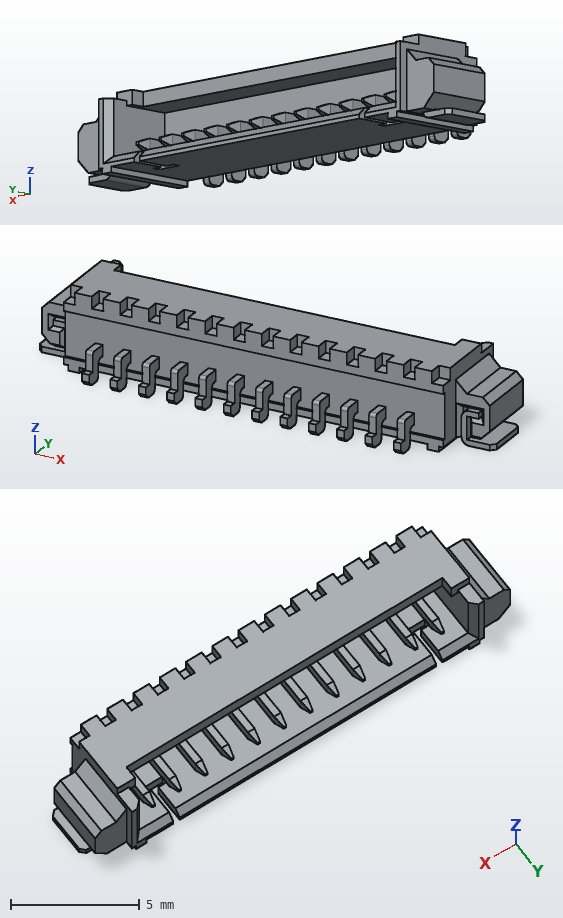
import cadquery as cq
import math


PIN_COUNT = 12
PITCH = 1.25
OVERALL_LENGTH = 20.15
OVERALL_DEPTH = 5.2
OVERALL_HEIGHT = 3.4
MATING_Y = OVERALL_DEPTH / 2
TAIL_END_Y = MATING_Y - OVERALL_DEPTH

NOTCH_WIDTH = 0.5
HOUSING_LENGTH = (PIN_COUNT + 1) * PITCH + NOTCH_WIDTH
HOUSING_SIDE_X = HOUSING_LENGTH / 2
HOUSING_DEPTH = 4.2
HOUSING_REAR_Y = MATING_Y - HOUSING_DEPTH
STANDOFF = 0.23
FOOT_WIDTH = 0.5
FOOT_INSET = 0.2
REAR_RECESS = 0.125
RECESS_BOTTOM_Z = 0.54
RECESS_TOP_Z = 2.52

SIDE_WALL_TOP_Z = 3.0
SIDE_STEP_DEPTH = 1.0
ROOF_SETBACK = 1.6
ROOF_STEP_INSET = 0.86

SIDE_WALL = 0.55
CAVITY_FLOOR_Z = 0.7
CAVITY_CEILING_Z = 2.8
CAVITY_DEPTH = 3.1
CAVITY_HALF_WIDTH = HOUSING_SIDE_X - SIDE_WALL
MOUTH_CHAMFER = 0.3

FLOOR_SLOT_X = (PIN_COUNT / 2 - 1) * PITCH
FLOOR_SLOT_WIDTH = 0.3
FLOOR_SLOT_STEM = 1.47
FLOOR_SLOT_HEAD_WIDTH = 1.1
FLOOR_SLOT_HEAD_DEPTH = 0.3

NOTCH_DEPTH = 0.6
NOTCH_HEIGHT = 0.52

PIN_WIDTH = 0.32
PIN_TOP_Z = 1.37
PIN_BOTTOM_Z = 0.88
PIN_TIP_DEPTH = 0.66
PIN_TAPER_LENGTH = 0.52
PIN_TIP_SIZE = 0.12
TAIL_THICKNESS = 0.46
TAIL_TOE_LENGTH = 0.31
TAIL_OUTER_Y = TAIL_END_Y + TAIL_TOE_LENGTH
TAIL_INNER_Y = TAIL_OUTER_Y + TAIL_THICKNESS
TAIL_TOE_Z = 0.53
TAIL_TOE_CHAMFER = 0.2
TAIL_HEEL_RADIUS = 0.2
TAIL_INNER_RADIUS = 0.2
TAIL_OUTER_RADIUS = 0.13

EAR_REACH = 1.5
EAR_SHOULDER_OUT = 0.5
EAR_TOP_Z = 2.22
EAR_ROOT_Z = EAR_TOP_Z + EAR_SHOULDER_OUT
EAR_TOP_CHAMFER = 0.3
EAR_BOTTOM_CHAMFER = 0.56
EAR_OUTER_Y = MATING_Y - 0.36
EAR_LENGTH = 2.8
EAR_REAR_Y = EAR_OUTER_Y - EAR_LENGTH

CLIP_THICKNESS = 0.25
CLIP_GAP = 0.25
CLIP_HOOK_OUT = 1.01
CLIP_HOOK_TOP_Z = 1.5
CLIP_PLATE_OUT = OVERALL_LENGTH / 2 - HOUSING_SIDE_X
CLIP_LENGTH = 2.2
CLIP_CORNER = 0.2
CLIP_BEND_RADIUS = 0.35
POCKET_FLARE = 0.22
POCKET_CLEARANCE = 0.04

EAR_BOTTOM_Z = CLIP_THICKNESS

PIN_XS = [(i - (PIN_COUNT - 1) / 2) * PITCH for i in range(PIN_COUNT)]
NOTCH_XS = [(i - (PIN_COUNT + 1) / 2) * PITCH for i in range(PIN_COUNT + 2)]


def block(x0, x1, y0, y1, z0, z1):
    """Axis-aligned box between opposite corners."""
    return cq.Workplane("XY").box(x1 - x0, y1 - y0, z1 - z0, centered=False).translate((x0, y0, z0))


def mirrored_pair(shape):
    """The shape together with its mirror image across the YZ plane."""
    return shape.union(shape.mirror("YZ"))


def arc_middle(radius):
    """Distance of a corner round's midpoint from each of the two sides it joins."""
    return radius * (1 - math.sqrt(0.5))


def make_cavity():
    """Plug cavity, its chamfered mouth and the open part of the roof."""
    rear_y = MATING_Y - CAVITY_DEPTH
    cavity = block(
        -CAVITY_HALF_WIDTH, CAVITY_HALF_WIDTH, rear_y, MATING_Y, CAVITY_FLOOR_Z, CAVITY_CEILING_Z
    )
    open_front = block(
        -CAVITY_HALF_WIDTH, CAVITY_HALF_WIDTH, MATING_Y - SIDE_STEP_DEPTH, MATING_Y,
        CAVITY_FLOOR_Z, OVERALL_HEIGHT,
    )
    roof_half_width = HOUSING_SIDE_X - ROOF_STEP_INSET
    roof_opening = block(
        -roof_half_width, roof_half_width, MATING_Y - ROOF_SETBACK, MATING_Y,
        CAVITY_FLOOR_Z, OVERALL_HEIGHT,
    )
    flared_half_width = CAVITY_HALF_WIDTH + MOUTH_CHAMFER
    flared_floor_z = CAVITY_FLOOR_Z - MOUTH_CHAMFER
    mouth = (
        cq.Workplane("XZ", origin=(0, MATING_Y, 0))
        .moveTo(0, (flared_floor_z + OVERALL_HEIGHT) / 2)
        .rect(2 * flared_half_width, OVERALL_HEIGHT - flared_floor_z)
        .workplane(offset=MOUTH_CHAMFER)
        .moveTo(0, (CAVITY_FLOOR_Z + OVERALL_HEIGHT) / 2)
        .rect(2 * CAVITY_HALF_WIDTH, OVERALL_HEIGHT - CAVITY_FLOOR_Z)
        .loft(ruled=True, combine=True)
    )
    return cavity.union(open_front).union(roof_opening).union(mouth)


def make_floor_slot():
    """T-shaped slot through the floor on the +X side, open at the mating face."""
    stem_end_y = MATING_Y - FLOOR_SLOT_STEM
    stem = block(
        FLOOR_SLOT_X - FLOOR_SLOT_WIDTH / 2, FLOOR_SLOT_X + FLOOR_SLOT_WIDTH / 2,
        stem_end_y, MATING_Y, 0, CAVITY_FLOOR_Z,
    )
    head = block(
        FLOOR_SLOT_X - FLOOR_SLOT_HEAD_WIDTH / 2, FLOOR_SLOT_X + FLOOR_SLOT_HEAD_WIDTH / 2,
        stem_end_y - FLOOR_SLOT_HEAD_DEPTH, stem_end_y, 0, CAVITY_FLOOR_Z,
    )
    return stem.union(head)


def make_housing():
    """Insulating body with feet, rear recess, cavity, floor slots and top notches."""
    body = block(
        -HOUSING_SIDE_X, HOUSING_SIDE_X, HOUSING_REAR_Y, MATING_Y, STANDOFF, OVERALL_HEIGHT
    )
    foot_outer_x = HOUSING_SIDE_X - FOOT_INSET
    foot = block(foot_outer_x - FOOT_WIDTH, foot_outer_x, HOUSING_REAR_Y, MATING_Y, 0, STANDOFF)
    front_step = block(
        -HOUSING_SIDE_X, HOUSING_SIDE_X, MATING_Y - SIDE_STEP_DEPTH, MATING_Y,
        SIDE_WALL_TOP_Z, OVERALL_HEIGHT,
    )
    rear_recess = block(
        -HOUSING_SIDE_X, HOUSING_SIDE_X, HOUSING_REAR_Y, HOUSING_REAR_Y + REAR_RECESS,
        RECESS_BOTTOM_Z, RECESS_TOP_Z,
    )
    body = body.union(mirrored_pair(foot)).cut(front_step).cut(rear_recess)
    body = body.cut(make_cavity()).cut(mirrored_pair(make_floor_slot()))
    for x in NOTCH_XS:
        notch = block(
            x - NOTCH_WIDTH / 2, x + NOTCH_WIDTH / 2, HOUSING_REAR_Y, HOUSING_REAR_Y + NOTCH_DEPTH,
            OVERALL_HEIGHT - NOTCH_HEIGHT, OVERALL_HEIGHT,
        )
        body = body.cut(notch)
    return body


def make_pin():
    """Terminal on X = 0: tapered contact, straight shank and bent solder tail."""
    taper_y = MATING_Y - PIN_TIP_DEPTH - PIN_TAPER_LENGTH
    inner_point = arc_middle(TAIL_INNER_RADIUS)
    heel_point = arc_middle(TAIL_HEEL_RADIUS)
    outer_point = arc_middle(TAIL_OUTER_RADIUS)
    shank = (
        cq.Workplane("YZ", origin=(-PIN_WIDTH / 2, 0, 0))
        .moveTo(taper_y, PIN_BOTTOM_Z)
        .lineTo(taper_y, PIN_TOP_Z)
        .lineTo(TAIL_OUTER_Y + TAIL_OUTER_RADIUS, PIN_TOP_Z)
        .threePointArc(
            (TAIL_OUTER_Y + outer_point, PIN_TOP_Z - outer_point),
            (TAIL_OUTER_Y, PIN_TOP_Z - TAIL_OUTER_RADIUS),
        )
        .lineTo(TAIL_OUTER_Y, TAIL_TOE_Z)
        .lineTo(TAIL_END_Y, TAIL_TOE_Z)
        .lineTo(TAIL_END_Y, TAIL_TOE_CHAMFER)
        .lineTo(TAIL_END_Y + TAIL_TOE_CHAMFER, 0)
        .lineTo(TAIL_INNER_Y - TAIL_HEEL_RADIUS, 0)
        .threePointArc(
            (TAIL_INNER_Y - heel_point, heel_point),
            (TAIL_INNER_Y, TAIL_HEEL_RADIUS),
        )
        .lineTo(TAIL_INNER_Y, PIN_BOTTOM_Z - TAIL_INNER_RADIUS)
        .threePointArc(
            (TAIL_INNER_Y + inner_point, PIN_BOTTOM_Z - inner_point),
            (TAIL_INNER_Y + TAIL_INNER_RADIUS, PIN_BOTTOM_Z),
        )
        .close()
        .extrude(PIN_WIDTH)
    )
    tip = (
        cq.Workplane("XZ", origin=(0, taper_y, (PIN_TOP_Z + PIN_BOTTOM_Z) / 2))
        .rect(PIN_WIDTH, PIN_TOP_Z - PIN_BOTTOM_Z)
        .workplane(offset=-PIN_TAPER_LENGTH)
        .rect(PIN_TIP_SIZE, PIN_TIP_SIZE)
        .loft(ruled=True, combine=True)
    )
    return shank.union(tip)


def ear_plane(y):
    """XZ plane at the given Y, with its origin on the +X housing side and the board plane."""
    return cq.Workplane("XZ", origin=(HOUSING_SIDE_X, y, 0))


def pocket_outline(margin):
    """Outline of the clip enlarged by a margin, running out below and beside the ear."""
    wall_out = CLIP_GAP + CLIP_THICKNESS + margin
    plate_top_z = CLIP_THICKNESS + margin
    hook_top_z = CLIP_HOOK_TOP_Z + margin
    hook_bottom_z = CLIP_HOOK_TOP_Z - CLIP_THICKNESS - margin
    hook_out = CLIP_HOOK_OUT + margin
    return [
        (CLIP_GAP - margin, 0),
        (CLIP_GAP - margin, hook_top_z),
        (hook_out, hook_top_z),
        (hook_out, hook_bottom_z),
        (wall_out, hook_bottom_z),
        (wall_out, plate_top_z),
        (CLIP_PLATE_OUT, plate_top_z),
        (CLIP_PLATE_OUT, 0),
    ]


def make_ear():
    """Ear on the +X side with a hooked pocket that flares towards the rear."""
    outline = [
        (0, EAR_BOTTOM_Z),
        (0, EAR_ROOT_Z),
        (EAR_SHOULDER_OUT, EAR_TOP_Z),
        (EAR_REACH - EAR_TOP_CHAMFER, EAR_TOP_Z),
        (EAR_REACH, EAR_TOP_Z - EAR_TOP_CHAMFER),
        (EAR_REACH, EAR_BOTTOM_Z + EAR_BOTTOM_CHAMFER),
        (EAR_REACH - EAR_BOTTOM_CHAMFER, EAR_BOTTOM_Z),
    ]
    ear = ear_plane(EAR_OUTER_Y).polyline(outline).close().extrude(EAR_LENGTH)
    pocket = (
        ear_plane(EAR_REAR_Y + CLIP_LENGTH)
        .polyline(pocket_outline(POCKET_CLEARANCE))
        .close()
        .extrude(CLIP_LENGTH)
    )
    flare = (
        ear_plane(EAR_REAR_Y)
        .polyline(pocket_outline(POCKET_FLARE))
        .close()
        .workplane(offset=-POCKET_FLARE)
        .polyline(pocket_outline(POCKET_CLEARANCE))
        .close()
        .loft(ruled=True, combine=True)
    )
    return ear.cut(pocket).cut(flare)


def make_clip():
    """Bent solder clip on the +X side: hook, upright and corner-chamfered solder plate."""
    wall_out = CLIP_GAP + CLIP_THICKNESS
    hook_bottom_z = CLIP_HOOK_TOP_Z - CLIP_THICKNESS
    bend_point = arc_middle(CLIP_BEND_RADIUS)
    clip = (
        ear_plane(EAR_REAR_Y + CLIP_LENGTH)
        .moveTo(CLIP_PLATE_OUT, 0)
        .lineTo(CLIP_GAP + CLIP_BEND_RADIUS, 0)
        .threePointArc((CLIP_GAP + bend_point, bend_point), (CLIP_GAP, CLIP_BEND_RADIUS))
        .lineTo(CLIP_GAP, CLIP_HOOK_TOP_Z - CLIP_BEND_RADIUS)
        .threePointArc(
            (CLIP_GAP + bend_point, CLIP_HOOK_TOP_Z - bend_point),
            (CLIP_GAP + CLIP_BEND_RADIUS, CLIP_HOOK_TOP_Z),
        )
        .lineTo(CLIP_HOOK_OUT, CLIP_HOOK_TOP_Z)
        .lineTo(CLIP_HOOK_OUT, hook_bottom_z)
        .lineTo(wall_out, hook_bottom_z)
        .lineTo(wall_out, CLIP_THICKNESS)
        .lineTo(CLIP_PLATE_OUT, CLIP_THICKNESS)
        .close()
        .extrude(CLIP_LENGTH)
    )
    return clip.faces(">X").edges("|Z").chamfer(CLIP_CORNER)


part = make_housing().union(mirrored_pair(make_ear().union(make_clip())))
pin = make_pin()
for pin_x in PIN_XS:
    part = part.union(pin.translate((pin_x, 0, 0)))
result = part